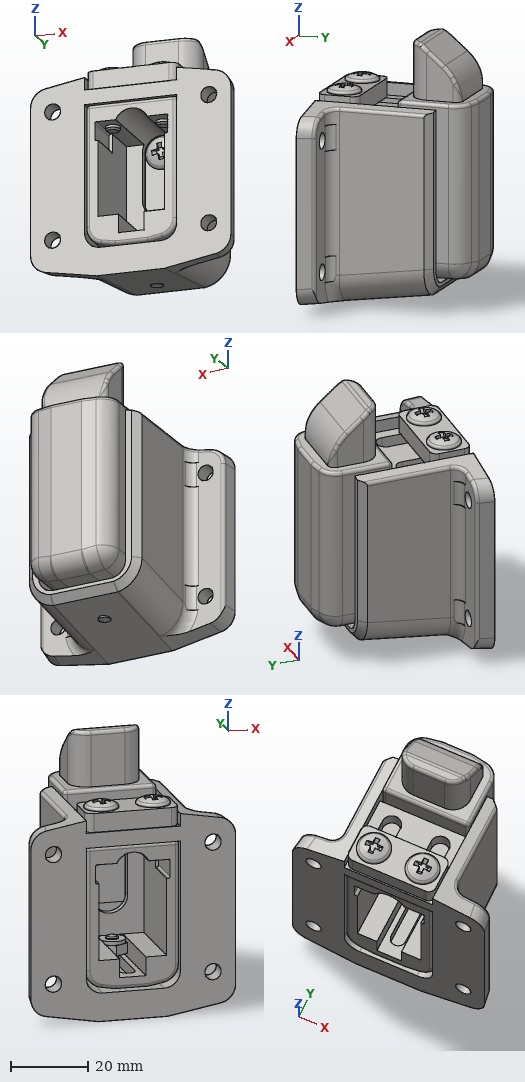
import cadquery as cq
import math

EDGE_RADIUS = 1.0
CROWN_ANGLE = math.radians(10)
CROWN_TAN = math.tan(CROWN_ANGLE)
DRAFT_TAN = math.tan(math.radians(8))

FLANGE_SIZE = 55.0
FLANGE_THICKNESS = 5.0
FLANGE_CORNER_RADIUS = 5.0
FLANGE_FLAT_HALF = 9.3
BOX_HALF_WIDTH = 16.4
BOX_DEPTH = 33.05
BOX_CORNER_RADIUS = 8.2
BOX_CHAMFER = 2.0
NECK_RADIUS = 3.0
CHANNEL_HALF_WIDTH = 12.6
CHANNEL_FLOOR_Z = 7.65
CHANNEL_CORNER_RADIUS = 4.4
BRIDGE_BOTTOM_Z = 47.0
BRIDGE_THICKNESS = 4.05
BRIDGE_DEPTH = 21.6
MOUNT_HOLE_DIAMETER = 4.3
MOUNT_HOLE_X = 21.4
MOUNT_HOLE_ZS = (11.1, 46.0)
RELIEF_HALF_WIDTH = 3.4
RELIEF_INNER_X = 16.5
RELIEF_RADIUS = 2.3

BODY_HALF_WIDTH = 12.5
BODY_FRONT_Y = 0.5
BODY_BACK_Y = 42.0
BODY_BOTTOM_Z = 8.15
BODY_TOP_Z = 56.05
BODY_STEP_Y = 22.35
BODY_FLAT_HALF = 4.5
BODY_CORNER_RADIUS = 5.0
POCKET_HALF_WIDTH = 9.1
POCKET_BOTTOM_Z = 16.3
POCKET_TOP_Z = 42.15
POCKET_BACK_Y = 22.5
GROOVE_HALF_WIDTH = 10.0
GROOVE_BOTTOM_Z = 37.05
GROOVE_CORNER_RADIUS = 0.5
GUIDE_SLOT_RADIUS = 4.75
GUIDE_SLOT_LOW_Z = 26.95

BOLT_HALF_WIDTH = 9.5
BOLT_FRONT_Y = 24.4
BOLT_BACK_Y = 38.7
BOLT_BOTTOM_Z = 24.55
BOLT_TOP_Z = 70.95
BOLT_FRONT_RADIUS = 5.0
BOLT_BACK_RADIUS = 2.0
RAMP_RADIUS = 12.4
RAMP_ANGLE = math.radians(40)
RAMP_TIP_RADIUS = 1.5

BLOCK_HALF_WIDTH = 12.4
BLOCK_FRONT_Y = 0.4
BLOCK_DEPTH = 11.0
BLOCK_CORNER_RADIUS = 2.0

SCREW_RADIUS = 2.0
SCREW_CHAMFER = 0.5
HEAD_RADIUS = 4.55
HEAD_RIM_HEIGHT = 0.2
HEAD_SHOULDER_RADIUS = 3.9
HEAD_SHOULDER_HEIGHT = 0.9
HEAD_SHOULDER_BULGE = 0.085
HEAD_HEIGHT = 1.9
CROSS_LENGTH = 5.25
CROSS_FLOOR_LENGTH = 2.55
CROSS_WIDTH = 1.3
CROSS_DEPTH = 1.4
CLAMP_SCREW_X = 6.95
CLAMP_SCREW_Y = 5.95
CLAMP_SCREW_LENGTH = 15.1
CLAMP_SLOT_RADIUS = 2.55
CLAMP_TRAVEL = 10.65
GUIDE_SCREW_Z = 40.1
GUIDE_SCREW_LENGTH = 8.0
GUIDE_SCREW_TURN = 8.0

SET_SCREW_RADIUS = 1.67
SET_SCREW_CHAMFER = 0.35
SET_SCREW_Y = 20.4
SET_SCREW_BOTTOM_Z = 2.6
SET_SCREW_TOP_Z = 16.75
NUT_FLATS = 7.0
NUT_BOTTOM_Z = 12.3
NUT_HEX_HEIGHT = 2.85
NUT_COLLAR_HEIGHT = 1.0
NUT_NOTCH_FLOOR_Z = 11.3
SET_SLOT_RADIUS = 2.05

BRIDGE_TOP_Z = BRIDGE_BOTTOM_Z + BRIDGE_THICKNESS
GROOVE_BACK_Y = BLOCK_FRONT_Y + BLOCK_DEPTH
CLEAR = 141.9
NEAR = 0.1


def block_between(x0, x1, y0, y1, z0, z1):
    return cq.Workplane("XY").box(x1 - x0, y1 - y0, z1 - z0, centered=False).translate((x0, y0, z0))


def z_cylinder(x, y, radius, z0, z1):
    return cq.Workplane("XY", origin=(x, y, z0)).circle(radius).extrude(z1 - z0)


def y_cylinder(x, z, radius, y0, y1):
    return cq.Workplane("XZ", origin=(x, y0, z)).circle(radius).extrude(y0 - y1)


def z_slot(x, y0, y1, radius, z0, z1):
    """Vertical cutter with round ends centred at (x, y0) and (x, y1)."""
    middle = block_between(x - radius, x + radius, y0, y1, z0, z1)
    return middle.union(z_cylinder(x, y0, radius, z0, z1)).union(z_cylinder(x, y1, radius, z0, z1))


def polygon_face(points):
    return cq.Face.makeFromWires(cq.Wire.makePolygon([cq.Vector(*p) for p in points], close=True))


def crowned_outline(y, half, low):
    """Corners at depth y: straight sides, and top and bottom edges crowned about a level middle."""
    rise = (half - FLANGE_FLAT_HALF) * CROWN_TAN
    right = [
        (FLANGE_FLAT_HALF, y, low),
        (half, y, low + rise),
        (half, y, FLANGE_SIZE - rise),
        (FLANGE_FLAT_HALF, y, FLANGE_SIZE),
    ]
    return right + [(-x, y, z) for x, y, z in reversed(right)]


def prism_between(front, back):
    """Flat-sided solid that joins two outlines corner to corner."""
    count = len(front)
    sides = []
    for i in range(count):
        following = (i + 1) % count
        sides.append(polygon_face([front[i], front[following], back[following], back[i]]))
    shell = cq.Shell.makeShell([polygon_face(front), polygon_face(back)] + sides)
    return cq.Workplane(cq.Solid.makeSolid(shell))


def pick_edges(part, test):
    """The edges of a part whose centre passes a test on (x, y, z)."""
    return part.newObject([edge for edge in part.edges().vals() if test(*edge.Center().toTuple())])


def crowned_block(half, side_draft, depth, drop=0):
    """Crowned prism along Y whose bottom rises with the draft; drop lowers the bottom."""
    front, back = [
        crowned_outline(y, half - side_draft * y, DRAFT_TAN * y - drop) for y in (0, depth)
    ]
    return prism_between(front, back)


def round_corners(block, depth, radius, low):
    """Round the two lower or the two upper corners that run along the depth of a crowned block."""
    corners = pick_edges(
        block,
        lambda x, y, z: abs(x) > FLANGE_FLAT_HALF + NEAR
        and abs(y - depth / 2) < NEAR
        and (z < FLANGE_SIZE / 2) == low,
    )
    return corners.fillet(radius)



def make_housing_shell():
    half = FLANGE_SIZE / 2
    flange = crowned_block(half, DRAFT_TAN, FLANGE_THICKNESS, FLANGE_SIZE / 2)
    flange = round_corners(flange, FLANGE_THICKNESS, FLANGE_CORNER_RADIUS, low=False)
    walls = crowned_block(BOX_HALF_WIDTH, 0, BOX_DEPTH)
    walls = round_corners(walls, BOX_DEPTH, BOX_CORNER_RADIUS, low=True)
    top_edge_z = FLANGE_SIZE - (BOX_HALF_WIDTH - FLANGE_FLAT_HALF) * CROWN_TAN
    back_rim = pick_edges(walls, lambda x, y, z: y > BOX_DEPTH - NEAR and z < top_edge_z - NEAR)
    walls = back_rim.chamfer(BOX_CHAMFER)

    shell = flange.union(walls)
    neck = pick_edges(
        shell,
        lambda x, y, z: abs(y - FLANGE_THICKNESS) < NEAR
        and abs(x) < BOX_HALF_WIDTH + NEAR
        and 0 < z < top_edge_z,
    )
    shell = neck.fillet(NECK_RADIUS)
    wall_tops = pick_edges(
        shell,
        lambda x, y, z: abs(abs(x) - BOX_HALF_WIDTH) < NEAR
        and abs(z - top_edge_z) < NEAR
        and FLANGE_THICKNESS + NECK_RADIUS < y < BOX_DEPTH - BOX_CHAMFER,
    )
    shell = wall_tops.fillet(EDGE_RADIUS)
    envelope = crowned_block(half, DRAFT_TAN, BOX_DEPTH)
    return shell.intersect(round_corners(envelope, BOX_DEPTH, FLANGE_CORNER_RADIUS, low=True))


def cut_channel(shell):
    """Channel for the slide body, open at both ends and bridged across the front of the top."""
    channel = block_between(-CHANNEL_HALF_WIDTH, CHANNEL_HALF_WIDTH, -NEAR, CLEAR, CHANNEL_FLOOR_Z, CLEAR)
    channel = pick_edges(
        channel, lambda x, y, z: abs(x) > CHANNEL_HALF_WIDTH - NEAR and z < CHANNEL_FLOOR_Z + NEAR
    ).fillet(CHANNEL_CORNER_RADIUS)
    bridge = block_between(
        -CHANNEL_HALF_WIDTH, CHANNEL_HALF_WIDTH, -NEAR, BRIDGE_DEPTH, BRIDGE_BOTTOM_Z, BRIDGE_TOP_Z
    )
    return shell.cut(channel.cut(bridge))


def make_neck_relief(z):
    """Cutter that tightens the neck beside a mounting hole, for the head of its screw."""
    relief = block_between(
        RELIEF_INNER_X,
        MOUNT_HOLE_X,
        FLANGE_THICKNESS,
        BOX_DEPTH,
        z - RELIEF_HALF_WIDTH,
        z + RELIEF_HALF_WIDTH,
    )
    return relief.edges("<X and <Y").fillet(RELIEF_RADIUS)


def make_housing():
    housing = cut_channel(make_housing_shell())
    for x in (-MOUNT_HOLE_X, MOUNT_HOLE_X):
        for z in MOUNT_HOLE_ZS:
            housing = housing.cut(y_cylinder(x, z, MOUNT_HOLE_DIAMETER / 2, -NEAR, BOX_DEPTH))
    for z in MOUNT_HOLE_ZS:
        relief = make_neck_relief(z)
        housing = housing.cut(relief).cut(relief.mirror("YZ"))
    for x in (-CLAMP_SCREW_X, CLAMP_SCREW_X):
        slot_end_y = CLAMP_SCREW_Y + CLAMP_TRAVEL
        housing = housing.cut(
            z_slot(x, CLAMP_SCREW_Y, slot_end_y, CLAMP_SLOT_RADIUS, BRIDGE_BOTTOM_Z, BRIDGE_TOP_Z)
        )
    return housing.cut(z_cylinder(0, SET_SCREW_Y, SET_SCREW_RADIUS, -NEAR, BODY_BOTTOM_Z))



def body_plate(depth):
    """Plate along Z whose edge at Y = 0 is crowned; its far edge at Y = depth is square."""
    rise = (BODY_HALF_WIDTH - BODY_FLAT_HALF) * CROWN_TAN
    right = [(BODY_FLAT_HALF, 0), (BODY_HALF_WIDTH, rise), (BODY_HALF_WIDTH, depth)]
    left = [(-x, y) for x, y in reversed(right)]
    return cq.Workplane("XY").polyline(right + left).close().extrude(CLEAR)


def make_body_shell():
    plan = body_plate(BODY_BACK_Y - BODY_FRONT_Y)
    plan = plan.rotate((0, 0, 0), (0, 0, 1), 180).translate((0, BODY_BACK_Y, 0))
    front = body_plate(BODY_TOP_Z - BODY_BOTTOM_Z)
    front = front.rotate((0, 0, 0), (1, 0, 0), 90).translate((0, CLEAR / 2, BODY_BOTTOM_Z))
    shell = plan.intersect(front)
    side_depth = (BODY_HALF_WIDTH - BODY_FLAT_HALF) * CROWN_TAN + NEAR
    corners = pick_edges(
        shell,
        lambda x, y, z: (
            abs(x) > BODY_HALF_WIDTH - NEAR
            or abs((BODY_BACK_Y - y) - (z - BODY_BOTTOM_Z)) < NEAR
        )
        and (y > BODY_BACK_Y - side_depth or z < BODY_BOTTOM_Z + side_depth)
        and y > BODY_FRONT_Y + NEAR,
    )
    shell = corners.fillet(BODY_CORNER_RADIUS)
    step = block_between(-CLEAR, CLEAR, -CLEAR, BODY_STEP_Y, BRIDGE_BOTTOM_Z, CLEAR)
    shell = shell.cut(step)
    rims = pick_edges(
        shell,
        lambda x, y, z: z > BODY_TOP_Z - NEAR
        or y < BODY_FRONT_Y + NEAR
        or (
            abs(x) > BODY_HALF_WIDTH - NEAR
            and (abs(z - BRIDGE_BOTTOM_Z) < NEAR or abs(y - BODY_STEP_Y) < NEAR)
        ),
    )
    return rims.fillet(EDGE_RADIUS)


def cut_pocket(body):
    """Front pocket with side grooves under its ceiling and a notch in its floor for the nut."""
    front = BODY_FRONT_Y - NEAR
    half_nut = NUT_FLATS / 2
    nut_reach = SET_SCREW_Y + NUT_FLATS / math.sqrt(3)
    pocket = block_between(
        -POCKET_HALF_WIDTH, POCKET_HALF_WIDTH, front, POCKET_BACK_Y, POCKET_BOTTOM_Z, POCKET_TOP_Z
    )
    grooves = block_between(
        -GROOVE_HALF_WIDTH, GROOVE_HALF_WIDTH, front, GROOVE_BACK_Y, GROOVE_BOTTOM_Z, POCKET_TOP_Z
    ).edges("|Y").fillet(GROOVE_CORNER_RADIUS)
    notch = block_between(-half_nut, half_nut, front, nut_reach, NUT_NOTCH_FLOOR_Z, POCKET_BOTTOM_Z)
    set_slot = z_slot(0, CLAMP_SCREW_Y, SET_SCREW_Y, SET_SLOT_RADIUS, 0, NUT_NOTCH_FLOOR_Z)
    return body.cut(pocket).cut(grooves).cut(notch).cut(set_slot)


def make_body():
    body = cut_pocket(make_body_shell())
    front = BODY_FRONT_Y - NEAR
    slot = block_between(
        -GUIDE_SLOT_RADIUS, GUIDE_SLOT_RADIUS, front, BOLT_FRONT_Y, GUIDE_SLOT_LOW_Z, GUIDE_SCREW_Z
    )
    for z in (GUIDE_SLOT_LOW_Z, GUIDE_SCREW_Z):
        slot = slot.union(y_cylinder(0, z, GUIDE_SLOT_RADIUS, front, BOLT_FRONT_Y))
    body = body.cut(slot).cut(bolt_bar())
    for x in (-CLAMP_SCREW_X, CLAMP_SCREW_X):
        body = body.cut(z_cylinder(x, CLAMP_SCREW_Y, SCREW_RADIUS, POCKET_TOP_Z, BODY_TOP_Z))
    return body



def bolt_bar():
    bar = block_between(
        -BOLT_HALF_WIDTH, BOLT_HALF_WIDTH, BOLT_FRONT_Y, BOLT_BACK_Y, BOLT_BOTTOM_Z, BOLT_TOP_Z
    )
    bar = bar.edges("|Z and <Y").fillet(BOLT_FRONT_RADIUS)
    return bar.edges("|Z and >Y").fillet(BOLT_BACK_RADIUS)


def make_bolt():
    """The ramp runs down from the tip and curves into the back of the bar at the top of the body."""
    turn = math.pi / 2 - RAMP_ANGLE
    centre_y = BOLT_BACK_Y - RAMP_RADIUS
    arc_middle, ramp_end = [
        (centre_y + RAMP_RADIUS * math.cos(angle), BODY_TOP_Z + RAMP_RADIUS * math.sin(angle))
        for angle in (turn / 2, turn)
    ]
    ramp_top_y = ramp_end[0] - (BOLT_TOP_Z - ramp_end[1]) / math.tan(RAMP_ANGLE)
    profile = (
        cq.Workplane("YZ", origin=(-BOLT_HALF_WIDTH, 0, 0))
        .moveTo(BOLT_FRONT_Y, BOLT_BOTTOM_Z)
        .lineTo(BOLT_BACK_Y, BOLT_BOTTOM_Z)
        .lineTo(BOLT_BACK_Y, BODY_TOP_Z)
        .threePointArc(arc_middle, ramp_end)
        .lineTo(ramp_top_y, BOLT_TOP_Z)
        .lineTo(BOLT_FRONT_Y, BOLT_TOP_Z)
        .close()
        .extrude(2 * BOLT_HALF_WIDTH)
    )
    bolt = bolt_bar().intersect(profile)
    tip = pick_edges(bolt, lambda x, y, z: abs(y - ramp_top_y) < NEAR and z > BOLT_TOP_Z - NEAR)
    bolt = tip.fillet(RAMP_TIP_RADIUS)
    front_edge = pick_edges(bolt, lambda x, y, z: y < BOLT_FRONT_Y + NEAR and z > BOLT_TOP_Z - NEAR)
    bolt = front_edge.fillet(EDGE_RADIUS)
    screw_end_y = BOLT_FRONT_Y + GUIDE_SCREW_LENGTH
    return bolt.cut(y_cylinder(0, GUIDE_SCREW_Z, SCREW_RADIUS, BOLT_FRONT_Y, screw_end_y))



def make_clamp_block():
    block = block_between(
        -BLOCK_HALF_WIDTH,
        BLOCK_HALF_WIDTH,
        BLOCK_FRONT_Y,
        BLOCK_FRONT_Y + BLOCK_DEPTH,
        BRIDGE_TOP_Z,
        BODY_TOP_Z,
    ).edges("|Z").fillet(BLOCK_CORNER_RADIUS)
    for x in (-CLAMP_SCREW_X, CLAMP_SCREW_X):
        block = block.cut(z_cylinder(x, CLAMP_SCREW_Y, SCREW_RADIUS, BRIDGE_TOP_Z, BODY_TOP_Z))
    return block



def make_pan_screw(length):
    """Screw along Z: the underside of the head is at Z = 0 and the shank hangs below it."""
    shoulder_middle = (
        (HEAD_RADIUS + HEAD_SHOULDER_RADIUS) / 2 + HEAD_SHOULDER_BULGE,
        (HEAD_RIM_HEIGHT + HEAD_SHOULDER_HEIGHT) / 2 + HEAD_SHOULDER_BULGE,
    )
    dome_middle = (HEAD_SHOULDER_RADIUS / 2, HEAD_HEIGHT - (HEAD_HEIGHT - HEAD_SHOULDER_HEIGHT) / 4)
    screw = (
        cq.Workplane("XZ")
        .moveTo(0, -length)
        .lineTo(SCREW_RADIUS - SCREW_CHAMFER, -length)
        .lineTo(SCREW_RADIUS, -length + SCREW_CHAMFER)
        .lineTo(SCREW_RADIUS, 0)
        .lineTo(HEAD_RADIUS, 0)
        .lineTo(HEAD_RADIUS, HEAD_RIM_HEIGHT)
        .threePointArc(shoulder_middle, (HEAD_SHOULDER_RADIUS, HEAD_SHOULDER_HEIGHT))
        .threePointArc(dome_middle, (0, HEAD_HEIGHT))
        .close()
        .revolve(360, (0, 0, 0), (0, 1, 0))
    )
    arm = (
        cq.Workplane("XZ", origin=(0, CROSS_WIDTH / 2, 0))
        .moveTo(-CROSS_LENGTH / 2, HEAD_HEIGHT)
        .lineTo(-CROSS_FLOOR_LENGTH / 2, HEAD_HEIGHT - CROSS_DEPTH)
        .lineTo(CROSS_FLOOR_LENGTH / 2, HEAD_HEIGHT - CROSS_DEPTH)
        .lineTo(CROSS_LENGTH / 2, HEAD_HEIGHT)
        .close()
        .extrude(CROSS_WIDTH)
    )
    return screw.cut(arm).cut(arm.rotate((0, 0, 0), (0, 0, 1), 90))


def make_clamp_screws():
    return [
        make_pan_screw(CLAMP_SCREW_LENGTH).translate((x, CLAMP_SCREW_Y, BODY_TOP_Z))
        for x in (-CLAMP_SCREW_X, CLAMP_SCREW_X)
    ]


def make_guide_screw():
    screw = make_pan_screw(GUIDE_SCREW_LENGTH).rotate((0, 0, 0), (0, 0, 1), GUIDE_SCREW_TURN)
    return screw.rotate((0, 0, 0), (1, 0, 0), 90).translate((0, BOLT_FRONT_Y, GUIDE_SCREW_Z))



def make_set_screw():
    screw = z_cylinder(0, SET_SCREW_Y, SET_SCREW_RADIUS, SET_SCREW_BOTTOM_Z, SET_SCREW_TOP_Z)
    return screw.faces(">Z").chamfer(SET_SCREW_CHAMFER)


def make_nut():
    hexagon = (
        cq.Workplane("XY", origin=(0, SET_SCREW_Y, NUT_BOTTOM_Z))
        .polygon(6, NUT_FLATS / math.cos(math.pi / 6))
        .extrude(NUT_HEX_HEIGHT)
        .rotate((0, SET_SCREW_Y, 0), (0, SET_SCREW_Y, 1), 30)
    )
    collar_bottom = NUT_BOTTOM_Z + NUT_HEX_HEIGHT
    nut = hexagon.union(
        z_cylinder(0, SET_SCREW_Y, NUT_FLATS / 2, collar_bottom, collar_bottom + NUT_COLLAR_HEIGHT)
    )
    return nut.cut(z_cylinder(0, SET_SCREW_Y, SET_SCREW_RADIUS, NUT_BOTTOM_Z, SET_SCREW_TOP_Z))


housing = make_housing()
body = make_body()
bolt = make_bolt()
clamp_block = make_clamp_block()
clamp_screws = make_clamp_screws()
guide_screw = make_guide_screw()
set_screw = make_set_screw()
nut = make_nut()

result = cq.Compound.makeCompound([
    housing.val(),
    body.val(),
    bolt.val(),
    clamp_block.val(),
    *[screw.val() for screw in clamp_screws],
    guide_screw.val(),
    set_screw.val(),
    nut.val(),
])